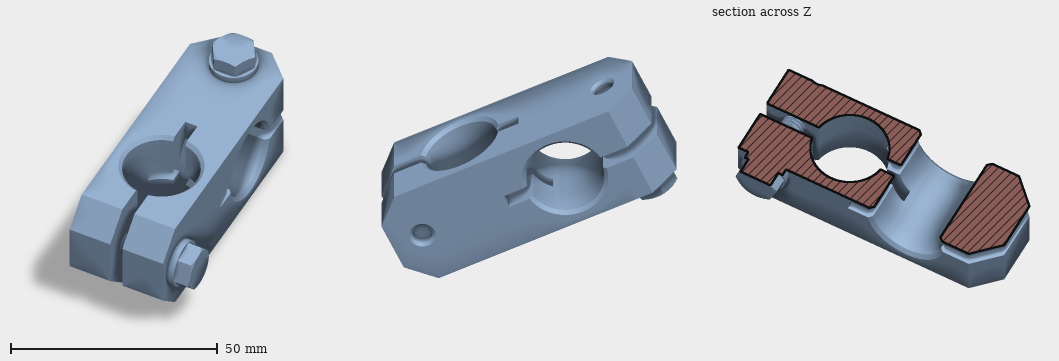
import cadquery as cq
import math

WIDTH = 25.4
LENGTH = 69.85
END_CHAMFER = 6.35

BORE_DIAMETER = 19.05
BORE_CHAMFER = 0.9
BORE_FROM_END = 23.8
SLOT_WIDTH = 3.3
SLOT_PAST_BORE_CENTRE = 15.8

BOLT_FROM_END = 7.94
BOLT_LENGTH = 25.0
THREAD_DIAMETER = 6.0
THREAD_CORE_DIAMETER = 4.93
THREAD_PITCH = 1.0
CREST_WIDTH = THREAD_PITCH / 8
ROOT_GAP = 0.04
ROOT_WIDTH = THREAD_PITCH - ROOT_GAP
ROOT_OVERLAP = 0.1
SHANK_LENGTH = SLOT_WIDTH + 2 * THREAD_PITCH
WASHER_DIAMETER = 12.0
WASHER_THICKNESS = 1.8
HEX_ACROSS_FLATS = 10.0
HEAD_HEIGHT = 4.0
HEAD_CHAMFER_ANGLE = 30.0
COUNTERSINK_DIAMETER = 6.4

UPPER_HEAD_TURN = 1.0
UPPER_CREST_OFFSET = 0.07
SIDE_HEAD_TURN = 39.6
SIDE_CREST_OFFSET = -0.35

BORE_Y = LENGTH / 2 - BORE_FROM_END
BOLT_Y = LENGTH / 2 - BOLT_FROM_END
HALF_WIDTH = WIDTH / 2


def lay_along_x(shape):
    """Turn a shape built along +Z so that it points along +X."""
    return shape.rotate((0, 0, 0), (0, 1, 0), 90)


def block():
    """Square bar with one pair of chamfered edges at each end."""
    bar = cq.Workplane("XY").box(WIDTH, LENGTH, WIDTH)
    return bar.faces(">Y").edges("|Z").chamfer(END_CHAMFER).faces("<Y").edges("|X").chamfer(END_CHAMFER)


def bore_cutter():
    """Through bore along Z with a chamfer at both mouths."""
    radius = BORE_DIAMETER / 2
    mouth_radius = radius + BORE_CHAMFER
    chamfer_start = HALF_WIDTH - BORE_CHAMFER
    profile = [
        (0, -HALF_WIDTH),
        (mouth_radius, -HALF_WIDTH),
        (radius, -chamfer_start),
        (radius, chamfer_start),
        (mouth_radius, HALF_WIDTH),
        (0, HALF_WIDTH),
    ]
    return cq.Workplane("XZ").polyline(profile).close().revolve(360, (0, 0, 0), (0, 1, 0))


def clamp_cutter(end_sign):
    """Bore along Z near one Y end, joined to a slot that opens through that end."""
    slot_length = BORE_FROM_END + SLOT_PAST_BORE_CENTRE
    slot_y = end_sign * (LENGTH - slot_length) / 2
    slot = cq.Workplane("XY").box(SLOT_WIDTH, slot_length, WIDTH).translate((0, slot_y, 0))
    return bore_cutter().translate((0, end_sign * BORE_Y, 0)).union(slot)


def tapped_hole_cutter():
    """Countersunk open end of the tapped hole on the -Z face, down to the bolt tip."""
    depth = WIDTH + WASHER_THICKNESS - BOLT_LENGTH
    core_radius = THREAD_CORE_DIAMETER / 2
    mouth_radius = COUNTERSINK_DIAMETER / 2
    countersink_depth = mouth_radius - core_radius
    profile = [
        (0, -HALF_WIDTH),
        (mouth_radius, -HALF_WIDTH),
        (core_radius, -HALF_WIDTH + countersink_depth),
        (core_radius, -HALF_WIDTH + depth),
        (0, -HALF_WIDTH + depth),
    ]
    return cq.Workplane("XZ").polyline(profile).close().revolve(360, (0, 0, 0), (0, 1, 0))


def bolt_head(turn):
    """Washer and chamfered hexagon head standing on the +Z face."""
    washer = (
        cq.Workplane("XY").workplane(offset=HALF_WIDTH).circle(WASHER_DIAMETER / 2).extrude(WASHER_THICKNESS)
    )
    corner_radius = HEX_ACROSS_FLATS / 2 / math.cos(math.pi / 6)
    chamfer_drop = (corner_radius - HEX_ACROSS_FLATS / 2) * math.tan(math.radians(HEAD_CHAMFER_ANGLE))
    base = HALF_WIDTH + WASHER_THICKNESS
    top = base + HEAD_HEIGHT
    hexagon = cq.Workplane("XY").workplane(offset=base).polygon(6, 2 * corner_radius).extrude(HEAD_HEIGHT)
    envelope_profile = [
        (0, base),
        (corner_radius, base),
        (corner_radius, top - chamfer_drop),
        (HEX_ACROSS_FLATS / 2, top),
        (0, top),
    ]
    envelope = cq.Workplane("XZ").polyline(envelope_profile).close().revolve(360, (0, 0, 0), (0, 1, 0))
    head = hexagon.intersect(envelope).rotate((0, 0, 0), (0, 0, 1), turn)
    return washer.union(head)


def threaded_shank(crest_offset):
    """Right-hand thread bridging the slot and running a little way into the block on both sides."""
    core_radius = THREAD_CORE_DIAMETER / 2
    crest_radius = THREAD_DIAMETER / 2
    root_radius = core_radius - ROOT_OVERLAP
    helix_height = SHANK_LENGTH + 2 * THREAD_PITCH
    helix_start = -math.ceil(helix_height / 2 / THREAD_PITCH) * THREAD_PITCH
    ridge_profile = [
        (root_radius, -ROOT_WIDTH / 2),
        (crest_radius, -CREST_WIDTH / 2),
        (crest_radius, CREST_WIDTH / 2),
        (root_radius, ROOT_WIDTH / 2),
    ]
    helix = cq.Workplane(cq.Wire.makeHelix(THREAD_PITCH, -2 * helix_start, core_radius))
    ridge = cq.Workplane("XZ").polyline(ridge_profile).close().sweep(helix, isFrenet=True)
    core_length = -2 * helix_start + 2 * THREAD_PITCH
    core = cq.Workplane("XY").circle(core_radius).extrude(core_length).translate((0, 0, -THREAD_PITCH))
    shank = core.union(ridge).rotate((0, 0, 0), (0, 0, 1), 90).translate((0, 0, helix_start + crest_offset))
    return shank.intersect(cq.Workplane("XY").box(WASHER_DIAMETER, WASHER_DIAMETER, SHANK_LENGTH))


def on_upper_axis(shape):
    """Place a shape on the bolt axis along Z at the +Y end."""
    return shape.translate((0, BOLT_Y, 0))


def on_side_axis(shape):
    """Place a shape on the bolt axis along X at the -Y end."""
    return lay_along_x(shape).translate((0, -BOLT_Y, 0))


result = (
    block()
    .cut(clamp_cutter(-1))
    .cut(lay_along_x(clamp_cutter(1)))
    .cut(on_upper_axis(tapped_hole_cutter()))
    .cut(on_side_axis(tapped_hole_cutter()))
    .union(on_upper_axis(bolt_head(UPPER_HEAD_TURN)))
    .union(on_upper_axis(threaded_shank(UPPER_CREST_OFFSET)))
    .union(on_side_axis(bolt_head(SIDE_HEAD_TURN)))
    .union(on_side_axis(threaded_shank(SIDE_CREST_OFFSET)))
)